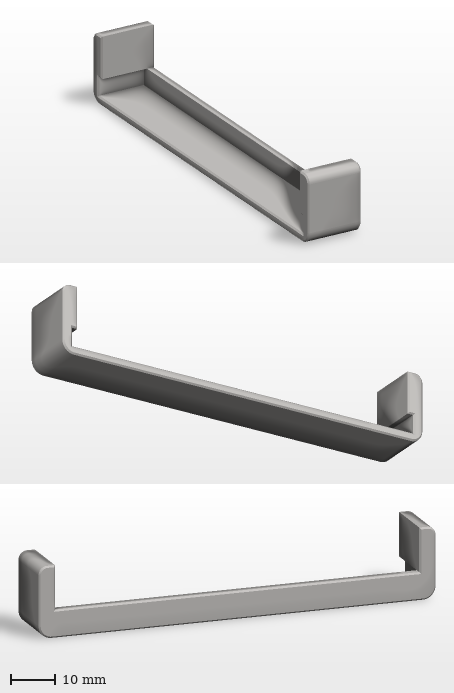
import cadquery as cq

length = 95.0
depth = 14.0
height = 17.0

skin = 2.0
end_wall = 3.9
recess_wall = 2.5

lip_height = 6.6

top_radius = 2.0
bottom_radius = 3.0
edge_chamfer = 0.4


def block(width, y_front, y_back, z_bottom, z_top):
    """Box centred on X, given by its width and its Y and Z limits."""
    size_y = y_back - y_front
    size_z = z_top - z_bottom
    box = cq.Workplane("XY").box(width, size_y, size_z, centered=(True, False, False))
    return box.translate((0, y_front, z_bottom))


body = block(length, 0, depth, 0, height)
body = body.edges("|Y and >Z").fillet(top_radius)
body = body.edges("|Y and <Z").fillet(bottom_radius)

opening = block(length - 2 * end_wall, 0, depth, lip_height, height)

recess = block(length - 2 * recess_wall, 0, depth - skin, skin, lip_height)

body = body.cut(opening).cut(recess)

result = body.faces("<Y or >Y").edges().chamfer(edge_chamfer)